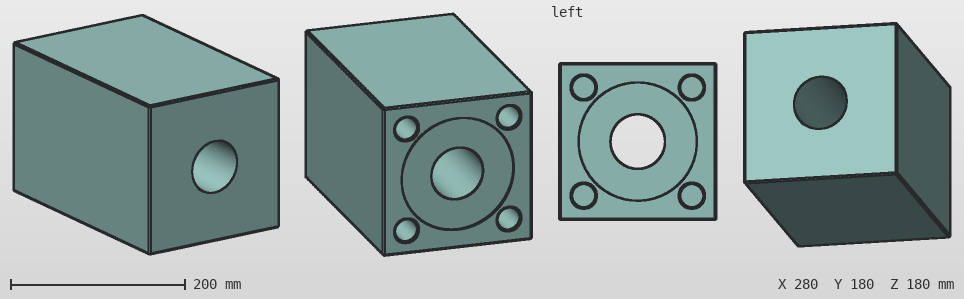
import cadquery as cq
import math

LENGTH = 280.0
SIDE = 180.0
EDGE_CHAMFER = 2.0
ENTRY_X = -LENGTH / 2

BORE_DIAMETER = 62.0
BORE_CHAMFER = 0.5
RECESS_DIAMETER = 135.12
RECESS_DEPTH = 2.0
RECESS_CHAMFER = 0.3

BOLT_CIRCLE_DIAMETER = 175.0
BOLT_HOLE_DIAMETER = 26.5
BOLT_MOUTH_DIAMETER = 30.2
BOLT_HOLE_DEPTH = 60.0


def make_block():
    return cq.Workplane("XY").box(LENGTH, SIDE, SIDE).edges().chamfer(EDGE_CHAMFER)


def chamfered_hole_cutter(start_x, y, z, diameter, chamfer, depth):
    """Round cutter along +X with a 45 degree chamfer at its mouth."""
    start = cq.Workplane("YZ", origin=(start_x, y, z))
    hole = start.circle(diameter / 2).extrude(depth)
    mouth = (
        start.circle(diameter / 2 + chamfer)
        .workplane(offset=chamfer)
        .circle(diameter / 2)
        .loft()
    )
    return hole.union(mouth)


def cut_recess(body):
    recess = chamfered_hole_cutter(ENTRY_X, 0, 0, RECESS_DIAMETER, RECESS_CHAMFER, RECESS_DEPTH)
    return body.cut(recess)


def cut_bore(body):
    bore = chamfered_hole_cutter(ENTRY_X + RECESS_DEPTH, 0, 0, BORE_DIAMETER, BORE_CHAMFER, LENGTH)
    return body.cut(bore)


def cut_bolt_holes(body):
    offset = BOLT_CIRCLE_DIAMETER / 2 * math.sin(math.pi / 4)
    chamfer = (BOLT_MOUTH_DIAMETER - BOLT_HOLE_DIAMETER) / 2
    for y in (-offset, offset):
        for z in (-offset, offset):
            hole = chamfered_hole_cutter(ENTRY_X, y, z, BOLT_HOLE_DIAMETER, chamfer, BOLT_HOLE_DEPTH)
            body = body.cut(hole)
    return body


result = cut_bolt_holes(cut_bore(cut_recess(make_block())))